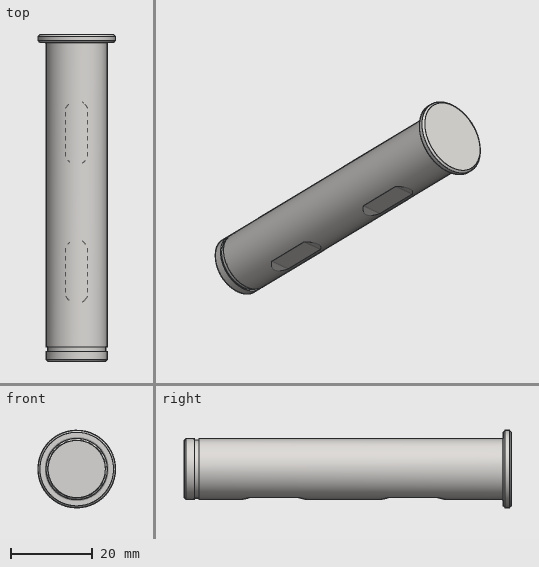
import cadquery as cq

TOTAL_LENGTH = 80.0
SHAFT_DIAMETER = 15.0
HEAD_DIAMETER = 19.0
HEAD_THICKNESS = 2.0
HEAD_CHAMFER = 0.5
NECK_FILLET_RADIUS = 0.2
TIP_CHAMFER = 0.5

GROOVE_DIAMETER = 14.3
GROOVE_WIDTH = 1.1
GROOVE_FROM_TIP = 2.5

FLAT_DEPTH = 0.5
FLAT_FLOOR_LENGTH = 12.0
FLAT_MOUTH_LENGTH = 16.0
FLAT_CENTRES_FROM_HEAD = (24.0, 58.0)

SHAFT_RADIUS = SHAFT_DIAMETER / 2
HEAD_FACE_Y = TOTAL_LENGTH / 2
TIP_FACE_Y = -TOTAL_LENGTH / 2
HEAD_UNDERSIDE_Y = HEAD_FACE_Y - HEAD_THICKNESS


def cylinder_along_y(diameter, start_y, end_y):
    """Solid cylinder centred on the pin axis between two Y positions."""
    base = cq.Workplane("XZ", origin=(0, start_y, 0))
    return base.circle(diameter / 2).extrude(start_y - end_y)


def make_shaft():
    shaft = cylinder_along_y(SHAFT_DIAMETER, TIP_FACE_Y, HEAD_FACE_Y)
    return shaft.faces("<Y").chamfer(TIP_CHAMFER)


def make_head():
    head = cylinder_along_y(HEAD_DIAMETER, HEAD_UNDERSIDE_Y, HEAD_FACE_Y)
    return head.edges("%CIRCLE").chamfer(HEAD_CHAMFER)


def fillet_neck(pin):
    """Round the inner corner where the shaft meets the head."""
    reach = SHAFT_RADIUS + NECK_FILLET_RADIUS
    corner = cq.selectors.BoxSelector(
        (-reach, HEAD_UNDERSIDE_Y - NECK_FILLET_RADIUS, -reach),
        (reach, HEAD_UNDERSIDE_Y + NECK_FILLET_RADIUS, reach),
        boundingbox=True,
    )
    return pin.edges(corner).edges("%CIRCLE").fillet(NECK_FILLET_RADIUS)


def make_groove_cutter():
    start_y = TIP_FACE_Y + GROOVE_FROM_TIP
    end_y = start_y + GROOVE_WIDTH
    outer = cylinder_along_y(HEAD_DIAMETER, start_y, end_y)
    return outer.cut(cylinder_along_y(GROOVE_DIAMETER, start_y, end_y))


def make_flat_cutter(centre_y):
    """Trapezoidal bar across X that leaves one flat with sloped ends."""
    floor_half = FLAT_FLOOR_LENGTH / 2
    mouth_half = FLAT_MOUTH_LENGTH / 2
    profile = [
        (centre_y - mouth_half, -SHAFT_RADIUS),
        (centre_y + mouth_half, -SHAFT_RADIUS),
        (centre_y + floor_half, -SHAFT_RADIUS + FLAT_DEPTH),
        (centre_y - floor_half, -SHAFT_RADIUS + FLAT_DEPTH),
    ]
    return cq.Workplane("YZ").polyline(profile).close().extrude(SHAFT_RADIUS, both=True)


pin = fillet_neck(make_shaft().union(make_head()))
pin = pin.cut(make_groove_cutter())
for distance_from_head in FLAT_CENTRES_FROM_HEAD:
    pin = pin.cut(make_flat_cutter(HEAD_FACE_Y - distance_from_head))

result = pin